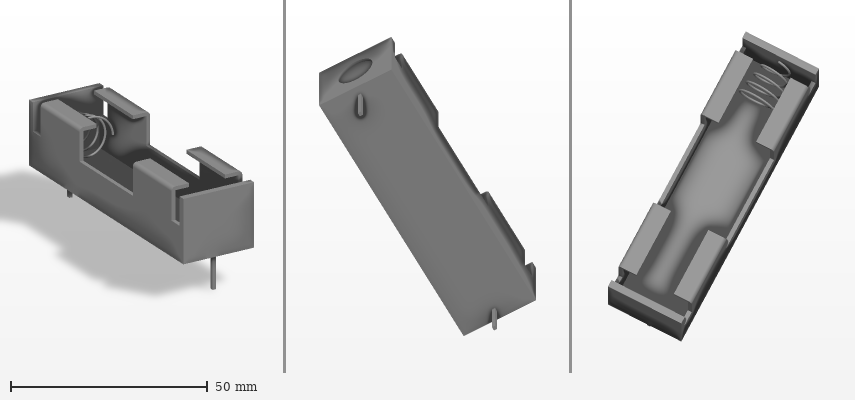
import cadquery as cq
import math

length = 75.5
width = 21.0
end_wall_height = 18.05
end_wall_thickness = 1.9
side_wall_thickness = 1.1
floor_thickness = 1.1
rail_height = 10.0

clip_start = 5.75
clip_length = 18.95
clip_height = 19.2
clip_reach = 5.1
clip_lip_thickness = 1.05
clip_bend_radius = 1.1

recess_diameter = 10.0
recess_depth = 0.75
recess_height = 9.1

overall_height = 29.2
pin_length = overall_height - clip_height
pin_size_x = 1.05
pin_size_y = 0.9
pin_inset = 2.7

wire_diameter = 0.6
spring_axis_height = 10.0
spring_start_radius = 3.4
spring_radius_gain = 0.6
spring_pitch = 2.9
spring_turns = 4.25
spring_wall_overlap = 0.1


def box(x_start, y_start, z_start, size_x, size_y, size_z):
    corner = (x_start, y_start, z_start)
    return cq.Workplane("XY").box(size_x, size_y, size_z, centered=False).translate(corner)


def make_tray():
    tray = box(0, -width / 2, 0, length, width, rail_height)
    for x_start in (0, length - end_wall_thickness):
        end_wall = box(x_start, -width / 2, 0, end_wall_thickness, width, end_wall_height)
        tray = tray.union(end_wall)
    cavity = box(
        end_wall_thickness,
        side_wall_thickness - width / 2,
        floor_thickness,
        length - 2 * end_wall_thickness,
        width - 2 * side_wall_thickness,
        clip_height,
    )
    return tray.cut(cavity)


def make_clip(x_start):
    """Clip on the -Y wall."""
    outer_y = -width / 2
    upright = box(x_start, outer_y, floor_thickness, clip_length, side_wall_thickness,
                  clip_height - floor_thickness)
    lip = box(x_start, outer_y, clip_height - clip_lip_thickness, clip_length, clip_reach,
              clip_lip_thickness)
    clip = upright.union(lip)
    return clip.edges("|X and <Y and >Z").fillet(clip_bend_radius)


def make_pin(x_center):
    return box(x_center - pin_size_x / 2, -pin_size_y / 2, -pin_length,
               pin_size_x, pin_size_y, pin_length + floor_thickness)


def make_recess():
    plane = cq.Workplane("YZ").center(0, recess_height)
    return plane.circle(recess_diameter / 2).extrude(recess_depth)


def make_spring():
    """Conical coil widening along +X, starting above its axis against the end wall."""
    cone_angle = math.degrees(math.atan(spring_radius_gain / spring_pitch))
    coil = cq.Wire.makeHelix(spring_pitch, spring_pitch * spring_turns, spring_start_radius,
                             angle=cone_angle, lefthand=True)
    start_plane = cq.Plane(origin=(spring_start_radius, 0, 0), xDir=(1, 0, 0), normal=(0, 1, 0))
    spring = cq.Workplane(start_plane).circle(wire_diameter / 2).sweep(coil, isFrenet=True)
    spring = spring.rotate((0, 0, 0), (0, 1, 0), 90).rotate((0, 0, 0), (1, 0, 0), 180)
    start_x = end_wall_thickness + wire_diameter / 2 - spring_wall_overlap
    return spring.translate((start_x, 0, spring_axis_height))


result = make_tray().cut(make_recess())
for clip_x in (clip_start, length - clip_start - clip_length):
    clip = make_clip(clip_x)
    result = result.union(clip).union(clip.mirror("XZ"))
for pin_x in (pin_inset, length - pin_inset):
    result = result.union(make_pin(pin_x))
result = result.union(make_spring())